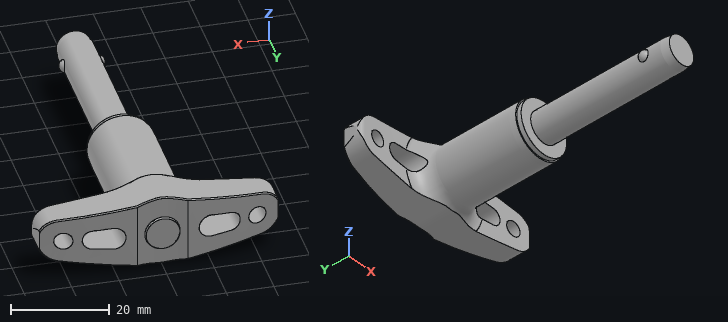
import cadquery as cq
import math


total_length = 74.0
handle_span = 51.5
handle_thickness = 15.79

button_top = 35.86
button_rim_radius = 3.7
button_top_radius = 3.55
button_rim_depth = 0.55
button_neck_radius = 2.9
button_neck_y = 34.5
button_root_depth = 1.0

pin_radius = 4.0
tip_y = button_top - total_length
tip_length = 2.15
tip_radius = 3.68

ball_radius = 1.45
ball_reach = 4.87
ball_y = -31.2

sleeve_radius = 7.3
sleeve_end_y = 23.28
collar_radius = 6.87
collar_length = 1.2
nose_y = 2.79
nose_radius = 7.22
flare_radius = 4.4
flare_overlap = 1.0

end_radius = 5.0
crown_radius = 8.4

half_span = handle_span / 2
back_half_span = 25.1
back_end_y = 32.4
back_mid_x = 16.4
back_mid_y = 34.4
dip_half_width = 5.3
dip_edge_y = 35.58
dip_floor_y = 34.55
front_end_y = 27.05
front_center_y = 27.85
front_edge_round = 1.15
back_edge_bevel = 0.25
rim_margin = 0.5

hole_x = 20.4
hole_radius = 1.9
slot_inner_x = 10.2
slot_inner_radius = 2.5
slot_outer_x = 14.45
slot_outer_radius = 2.15

cut_start_y = 20.0
cut_length = 20.0


def along_y(start_y):
    """Sketch plane across the pin axis with local x = -X and local y = Z, extruding towards +Y."""
    return cq.Workplane(cq.Plane(origin=(0, start_y, 0), xDir=(-1, 0, 0), normal=(0, 1, 0)))


def revolved(points):
    """Solid of revolution about the pin axis from (radius, y) points."""
    return cq.Workplane("XY").polyline(points).close().revolve(360, (0, 0, 0), (0, 1, 0))


def tangent_angle(span, big_radius, small_radius, big_top):
    """Slope of the flank touching the end arc at (span, 0) and the crown arc topping out at big_top."""
    rise = big_top - big_radius
    return math.atan2(rise, span) + math.asin((big_radius - small_radius) / math.hypot(span, rise))


def handle_outline():
    """Elongated lozenge with round ends and rounded crowns."""
    half_thickness = handle_thickness / 2
    end_x = half_span - end_radius
    crown_z = half_thickness - crown_radius
    angle = tangent_angle(end_x, crown_radius, end_radius, half_thickness)
    crown_x = crown_radius * math.sin(angle)
    crown_edge_z = crown_z + crown_radius * math.cos(angle)
    flank_x = end_x + end_radius * math.sin(angle)
    flank_z = end_radius * math.cos(angle)
    return (
        along_y(cut_start_y)
        .moveTo(-crown_x, crown_edge_z)
        .threePointArc((0, half_thickness), (crown_x, crown_edge_z))
        .lineTo(flank_x, flank_z)
        .threePointArc((half_span, 0), (flank_x, -flank_z))
        .lineTo(crown_x, -crown_edge_z)
        .threePointArc((0, -half_thickness), (-crown_x, -crown_edge_z))
        .lineTo(-flank_x, -flank_z)
        .threePointArc((-half_span, 0), (-flank_x, flank_z))
        .close()
        .extrude(cut_length)
    )


def handle_profile():
    """Arched back with a central dip, leaning ends and rounded front corners."""
    round_x = half_span - front_edge_round
    round_y = front_end_y + front_edge_round
    round_mid_x = round_x + front_edge_round * math.sin(math.pi / 4)
    round_mid_y = round_y - front_edge_round * math.cos(math.pi / 4)
    return (
        cq.Workplane("XY", origin=(0, 0, -handle_thickness))
        .moveTo(-round_x, front_end_y)
        .threePointArc((0, front_center_y), (round_x, front_end_y))
        .threePointArc((round_mid_x, round_mid_y), (half_span, round_y))
        .lineTo(back_half_span, back_end_y)
        .threePointArc((back_mid_x, back_mid_y), (dip_half_width, dip_edge_y))
        .threePointArc((0, dip_floor_y), (-dip_half_width, dip_edge_y))
        .threePointArc((-back_mid_x, back_mid_y), (-back_half_span, back_end_y))
        .lineTo(-half_span, round_y)
        .threePointArc((-round_mid_x, round_mid_y), (-round_x, front_end_y))
        .close()
        .extrude(2 * handle_thickness)
    )


def flare():
    """Concave sweep from the sleeve out to the handle, sunk into it and kept within its outline."""
    diagonal = flare_radius * math.sin(math.pi / 4)
    center_radius = sleeve_radius + flare_radius
    flare_top_y = sleeve_end_y + flare_radius + flare_overlap
    body = (
        cq.Workplane("XY")
        .moveTo(0, sleeve_end_y)
        .lineTo(sleeve_radius, sleeve_end_y)
        .threePointArc(
            (center_radius - diagonal, sleeve_end_y + diagonal),
            (center_radius, sleeve_end_y + flare_radius),
        )
        .lineTo(center_radius, flare_top_y)
        .lineTo(0, flare_top_y)
        .close()
        .revolve(360, (0, 0, 0), (0, 1, 0))
    )
    return body.intersect(handle_outline())


def openings():
    """Lanyard holes and tapered slots, one of each on both sides."""
    slope = math.asin((slot_inner_radius - slot_outer_radius) / (slot_outer_x - slot_inner_x))
    holes = along_y(cut_start_y).pushPoints([(-hole_x, 0), (hole_x, 0)])
    cutter = holes.circle(hole_radius).extrude(cut_length)
    for side in (-1, 1):
        inner_x = side * (slot_inner_x + slot_inner_radius * math.sin(slope))
        outer_x = side * (slot_outer_x + slot_outer_radius * math.sin(slope))
        inner_z = slot_inner_radius * math.cos(slope)
        outer_z = slot_outer_radius * math.cos(slope)
        slot = (
            along_y(cut_start_y)
            .moveTo(inner_x, inner_z)
            .lineTo(outer_x, outer_z)
            .threePointArc((side * (slot_outer_x + slot_outer_radius), 0), (outer_x, -outer_z))
            .lineTo(inner_x, -inner_z)
            .threePointArc((side * (slot_inner_x - slot_inner_radius), 0), (inner_x, inner_z))
            .close()
            .extrude(cut_length)
        )
        cutter = cutter.union(slot)
    return cutter


def handle():
    """T-handle with its bevelled back edge and openings."""
    body = handle_outline().intersect(handle_profile())
    rim = cq.selectors.BoxSelector(
        (-handle_span, back_end_y - rim_margin, -handle_thickness),
        (handle_span, button_top, handle_thickness),
    )
    body = body.edges(rim).edges("not |Z").chamfer(back_edge_bevel)
    return body.union(flare()).cut(openings())


def sleeve():
    """Cylindrical sleeve with a slightly tapered nose and a stepped collar."""
    return revolved([
        (0, 0),
        (collar_radius, 0),
        (collar_radius, collar_length),
        (nose_radius, collar_length),
        (sleeve_radius, nose_y),
        (sleeve_radius, sleeve_end_y),
        (0, sleeve_end_y),
    ])


def pin():
    """Shank with a tapered tip and a locking ball on each side."""
    body = revolved([
        (0, tip_y),
        (tip_radius, tip_y),
        (pin_radius, tip_y + tip_length),
        (pin_radius, 0),
        (0, 0),
    ])
    for side in (-1, 1):
        center = (side * (ball_reach - ball_radius), ball_y, 0)
        body = body.union(cq.Workplane("XY").sphere(ball_radius).translate(center))
    return body


def button():
    """Release button rising from the dip on a conical neck."""
    return revolved([
        (0, button_neck_y - button_root_depth),
        (button_neck_radius, button_neck_y - button_root_depth),
        (button_neck_radius, button_neck_y),
        (button_rim_radius, button_top - button_rim_depth),
        (button_top_radius, button_top),
        (0, button_top),
    ])


result = handle().union(sleeve()).union(pin()).union(button())